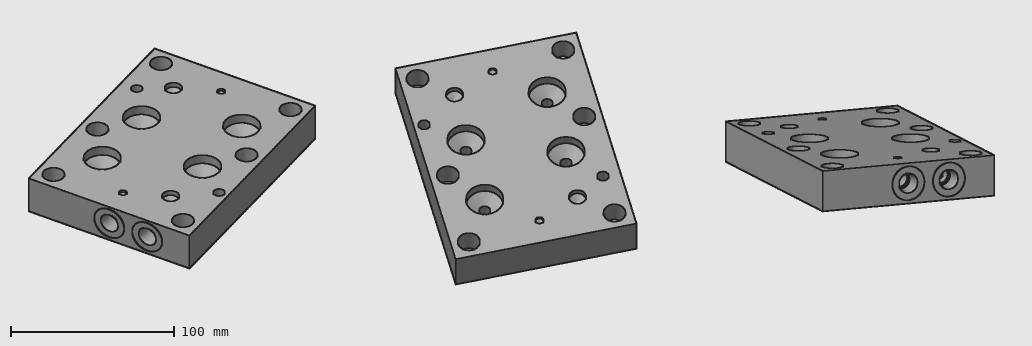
import cadquery as cq
import math

plate_width = 114.3
plate_length = 152.4
plate_height = 25.5

row_pitch = 11.9
pilot_row = 4
locator_row = 5
bolt_column = 46.0
bolt_corner_y = 65.0
cavity_column = 28.7
port_column = 27.0
side_pin_x = 50.7
side_pin_y = -29.4

drill_half_angle = 59.0

bolt_diameter = 13.5
bolt_depth = 15.2
pilot_diameter = 10.7
pilot_depth = 3.4
pin_diameter = 7.2
pin_depth = 10.7
locator_diameter = 5.0
locator_depth = 1.5

cavity_diameter = 23.0
cavity_depth = 6.4
cavity_outlet_diameter = 6.9

spotface_diameter = 21.3
spotface_depth = 0.5
seat_diameter = 12.3
thread_diameter = 11.1
seat_depth = 3.0
thread_depth = 11.5
tap_drill_diameter = 9.9
tap_drill_depth = 14.0
passage_diameter = 5.0
passage_depth = 30.5


def cone_height(large_diameter, small_diameter=0.0):
    """Axial length of a drill-point cone between two diameters."""
    return (large_diameter - small_diameter) / 2 / math.tan(math.radians(drill_half_angle))


def revolved_tool(profile):
    """Solid of revolution about Z through (diameter, depth) pairs that end on the axis."""
    points = [(diameter / 2, -depth) for diameter, depth in profile]
    outline = [(0, 0)] + points
    return cq.Workplane("XZ").polyline(outline).close().revolve(360, (0, 0, 0), (0, 1, 0))


def drilled_tool(diameter, depth):
    """Blind hole with a full-diameter depth followed by a pointed bottom."""
    return revolved_tool([(diameter, 0), (diameter, depth), (0, depth + cone_height(diameter))])


def cavity_tool():
    floor_end = cavity_depth + cone_height(cavity_diameter, cavity_outlet_diameter)
    return revolved_tool([
        (cavity_diameter, 0),
        (cavity_diameter, cavity_depth),
        (cavity_outlet_diameter, floor_end),
        (cavity_outlet_diameter, plate_height),
        (0, plate_height),
    ])


def port_tool():
    """Spotface, tapered seal seat, thread bore and pointed tap drill."""
    return revolved_tool([
        (spotface_diameter, 0),
        (spotface_diameter, spotface_depth),
        (seat_diameter, spotface_depth),
        (thread_diameter, seat_depth),
        (thread_diameter, thread_depth),
        (tap_drill_diameter, thread_depth),
        (tap_drill_diameter, tap_drill_depth),
        (0, tap_drill_depth + cone_height(tap_drill_diameter)),
    ])


def cut_from_top(body, tool, places):
    for x, y in places:
        body = body.cut(tool.translate((x, y, plate_height)))
    return body


def cut_from_end(body, tool, x):
    """Cut a tool into the -Y end face at mid-height."""
    turned = tool.rotate((0, 0, 0), (1, 0, 0), 90)
    return body.cut(turned.translate((x, -plate_length / 2, plate_height / 2)))


bolt_places = [(sx * bolt_column, sy * bolt_corner_y) for sx in (-1, 1) for sy in (-1, 1)]
bolt_places += [(side * bolt_column, side * row_pitch) for side in (-1, 1)]

cavity_places = [(-cavity_column, row * row_pitch) for row in (1, -3)]
cavity_places += [(cavity_column, row * row_pitch) for row in (3, -1)]

pilot_places = [(side * port_column, -side * pilot_row * row_pitch) for side in (-1, 1)]
pin_places = [(-bolt_column, 3 * row_pitch), (side_pin_x, side_pin_y)]
locator_places = [(0, side * locator_row * row_pitch) for side in (-1, 1)]

plate = cq.Workplane("XY").box(plate_width, plate_length, plate_height, centered=(True, True, False))

plate = cut_from_top(plate, drilled_tool(bolt_diameter, bolt_depth), bolt_places)
plate = cut_from_top(plate, cavity_tool(), cavity_places)
plate = cut_from_top(plate, drilled_tool(pilot_diameter, pilot_depth), pilot_places)
plate = cut_from_top(plate, drilled_tool(pin_diameter, pin_depth), pin_places)
plate = cut_from_top(plate, drilled_tool(locator_diameter, locator_depth), locator_places)

plate = cut_from_end(plate, port_tool(), 0)
plate = cut_from_end(plate, port_tool(), port_column)
plate = cut_from_end(plate, drilled_tool(passage_diameter, passage_depth), port_column)

result = plate